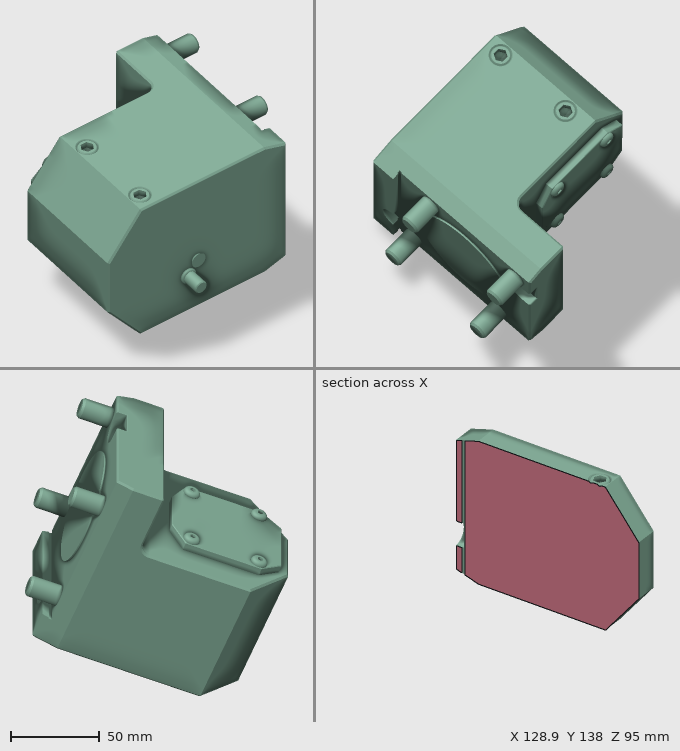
import cadquery as cq
import math

body_length = 116.0
body_height = 95.0
neck_x = 38.5
shoulder_y = 90.8
back_y = 119.6
inner_radius = 6.0
edge_chamfer = 1.1
seam_tolerance = 0.01
half_height = body_height / 2

front_bevel_depth = 22.9
front_flat_half = 18.6
rear_bevel_y = 109.7
rear_bevel_drop = 4.7

lip_x = 99.9
lip_y = 125.0
relief_width = 1.7
relief_top = 1.4
relief_depth = 0.5

mount_x = 50.0
spigot_radius = 32.7
spigot_height = 1.1
bolt_diameter = 12.0
bolt_end_y = 138
bolt_tip_length = 1.4
bolt_tip_inset = 1.0
bolt_row_z = 36.3
bolt_spacing = 64.9
bolt_row_offset = 6.5

key_notch_z = 18.9
lip_notch_z = -key_notch_z
key_notch_radius = 8.3
key_notch_depth = 6.0
key_notch_length = 15.2
key_notch_chamfer = 0.5
lip_notch_radius = 8.0

cover_thickness = 4.8
cover_chamfer = 0.4
cover_front_y = 6.3
cover_front_bevel_y = 18.2
cover_back_bevel_y = 64.5
cover_back_y = 72.7
cover_half_height = 29
cover_front_half = 19.2
cover_back_half = 14.5
button_ys = (20.3, 61.1)
button_z = 23.9
button_radius = 4.8
button_flat_radius = 2.6
button_height = 2.6
button_hex_width = 3.0
button_hex_depth = 1.7
button_crown = 0.5

socket_taper = 60
point_fullness = 0.95

cap_xs = (55.5, 105.3)
cap_y = 30.1
cap_head_radius = 5.2
cap_hole_radius = 6.8
cap_groove_depth = 0.8
cap_hex_width = 7.0
cap_hex_depth = 4.1

pin_end_x = 128.9
pin_y = 55.8
pin_z = -20.1
pin_radius = 4.0
pin_chamfer = 0.5
collar_radius = 5.1
collar_height = 1.8
collar_rounding = 1.1
screw_y = 62.1
screw_z = -10.8
screw_base_radius = 3.6
screw_rim_radius = 4.7
screw_height = 1.8


def plane_x(x, y, z):
    """Work plane facing +X, local x along +Y and local y along +Z."""
    return cq.Workplane(cq.Plane((x, y, z), (0, 1, 0), (1, 0, 0)))


def plane_y(x, y, z):
    """Work plane facing +Y, local x along +Z and local y along +X."""
    return cq.Workplane(cq.Plane((x, y, z), (0, 0, 1), (0, 1, 0)))


def mirrored_outline(half_points):
    """Close a half outline with its mirror image about the local x axis."""
    return half_points + [(u, -v) for u, v in reversed(half_points)]


def make_socket(mouth, width, depth):
    """Hexagonal socket with a pointed bottom, sunk below the plane `mouth`.

    Two corners of the hexagon lie on the plane's local x axis.
    """
    corner_diameter = width / math.cos(math.pi / 6)
    prism = cq.Workplane(mouth).polygon(6, corner_diameter).extrude(-depth)
    point_height = point_fullness * width / 2 / math.tan(math.radians(socket_taper))
    floor = mouth.toWorldCoords((0, 0, -depth))
    downward = cq.Plane(floor, mouth.xDir, -mouth.zDir)
    point = cq.Workplane(downward).polygon(6, corner_diameter).extrude(point_height, taper=socket_taper)
    return prism.union(point)


def make_body():
    plan = (
        cq.Workplane("XY", origin=(0, 0, -half_height))
        .moveTo(neck_x, 0)
        .lineTo(body_length, 0)
        .lineTo(body_length, lip_y)
        .lineTo(lip_x, lip_y)
        .lineTo(lip_x, back_y)
        .lineTo(0, back_y)
        .lineTo(0, shoulder_y)
        .lineTo(neck_x - inner_radius, shoulder_y)
        .radiusArc((neck_x, shoulder_y - inner_radius), inner_radius)
        .close()
        .extrude(body_height)
    )
    side_outline = mirrored_outline([
        (0, front_flat_half),
        (front_bevel_depth, half_height),
        (rear_bevel_y, half_height),
        (lip_y, half_height - rear_bevel_drop),
    ])
    body = plan.intersect(plane_x(0, 0, 0).polyline(side_outline).close().extrude(body_length))

    seams = {(neck_x - inner_radius, shoulder_y), (neck_x, shoulder_y - inner_radius)}

    def is_sharp(edge):
        middle = edge.Center()
        return all(math.hypot(middle.x - x, middle.y - y) > seam_tolerance for x, y in seams)

    arm_front = cq.selectors.BoxSelector(
        (0, shoulder_y - inner_radius, -half_height), (neck_x, shoulder_y + edge_chamfer, half_height)
    )
    rims = body.faces("#Z and (<X or >X)").edges()
    rims = rims.add(body.faces(arm_front).edges())
    rims = rims.add(body.faces(cq.selectors.NearestToPointSelector((neck_x, shoulder_y / 2, 0))).edges())
    return rims.filter(is_sharp).chamfer(edge_chamfer)


def make_lip_relief():
    """Undercut along the inside corner of the lip, cut into the lip and the back face."""
    return cq.Workplane("XY").box(
        relief_width, relief_top + relief_depth, body_height, centered=(False, False, True)
    ).translate((lip_x + relief_depth - relief_width, back_y - relief_depth, 0))


def cut_key_notch(body):
    """Open slot in the arm's end, with a round inner end and a chamfered mouth."""
    floor_y = back_y - key_notch_depth
    straight = key_notch_length - key_notch_radius
    slot = (
        plane_y(0, floor_y, key_notch_z)
        .moveTo(-key_notch_radius, 0)
        .lineTo(-key_notch_radius, straight)
        .threePointArc((0, key_notch_length), (key_notch_radius, straight))
        .lineTo(key_notch_radius, 0)
        .close()
        .extrude(key_notch_depth)
    )
    mouth = cq.selectors.BoxSelector(
        (-edge_chamfer, floor_y - edge_chamfer, key_notch_z - key_notch_radius - edge_chamfer),
        (edge_chamfer, back_y, key_notch_z + key_notch_radius + edge_chamfer),
    )
    return body.cut(slot).faces("<X").edges(mouth).chamfer(key_notch_chamfer)


def make_lip_notch():
    return plane_y(lip_x, back_y, lip_notch_z).circle(lip_notch_radius).extrude(lip_y - back_y)


def make_bolts():
    bolts = cq.Workplane("XY")
    length = bolt_end_y - back_y
    for row in (1, -1):
        for side in (1, -1):
            x = mount_x - row * bolt_row_offset + side * bolt_spacing / 2
            bolt = (
                plane_y(x, back_y, row * bolt_row_z)
                .circle(bolt_diameter / 2)
                .extrude(length)
                .faces(">Y")
                .chamfer(bolt_tip_length, bolt_tip_inset)
            )
            bolts = bolts.add(bolt)
    return bolts.combine()


def make_cover():
    outline = mirrored_outline([
        (cover_front_y, cover_front_half),
        (cover_front_bevel_y, cover_half_height),
        (cover_back_bevel_y, cover_half_height),
        (cover_back_y, cover_back_half),
    ])
    cover = plane_x(neck_x, 0, 0).polyline(outline).close().extrude(-cover_thickness)
    return cover.faces("<X").chamfer(cover_chamfer)


def make_button_screw(y, z):
    """Domed head on the cover with a hexagonal socket."""
    seat_x = neck_x - cover_thickness
    top_x = seat_x - button_height
    flank_middle = (
        seat_x - button_height / 2 - button_crown,
        y + (button_radius + button_flat_radius) / 2 + button_crown,
    )
    head = (
        cq.Workplane("XY", origin=(0, 0, z))
        .moveTo(seat_x, y)
        .lineTo(seat_x, y + button_radius)
        .threePointArc(flank_middle, (top_x, y + button_flat_radius))
        .lineTo(top_x, y)
        .close()
        .revolve(360, (0, y, 0), (1, y, 0))
    )
    mouth = cq.Plane((top_x, y, z), (0, 0, 1), (-1, 0, 0))
    return head.cut(make_socket(mouth, button_hex_width, button_hex_depth))


def make_cap_recess(x):
    """V-shaped ring around a flush screw head, plus its pointed hexagonal socket."""
    ring_middle = (cap_head_radius + cap_hole_radius) / 2
    groove = (
        cq.Workplane("XZ", origin=(x, cap_y, half_height))
        .moveTo(cap_head_radius, 0)
        .lineTo(ring_middle, -cap_groove_depth)
        .lineTo(cap_hole_radius, 0)
        .close()
        .revolve(360, (0, 0, 0), (0, 1, 0))
    )
    mouth = cq.Plane((x, cap_y, half_height), (0, 1, 0), (0, 0, 1))
    return groove.union(make_socket(mouth, cap_hex_width, cap_hex_depth))


def make_pin():
    pin = (
        plane_x(body_length, pin_y, pin_z)
        .circle(pin_radius)
        .extrude(pin_end_x - body_length)
        .faces(">X")
        .chamfer(pin_chamfer)
    )
    collar = (
        plane_x(body_length, pin_y, pin_z)
        .circle(collar_radius)
        .extrude(collar_height)
        .faces(">X")
        .edges()
        .fillet(collar_rounding)
    )
    return pin.union(collar)


def make_countersunk_head():
    """Cone that widens away from the +X side."""
    return (
        plane_x(body_length, screw_y, screw_z)
        .circle(screw_base_radius)
        .workplane(offset=screw_height)
        .circle(screw_rim_radius)
        .loft()
    )


spigot = plane_y(mount_x, back_y, 0).circle(spigot_radius).extrude(spigot_height)

result = cut_key_notch(make_body()).cut(make_lip_relief()).cut(make_lip_notch())
result = result.union(spigot).union(make_bolts()).union(make_cover())
for button_y in button_ys:
    for side in (1, -1):
        result = result.union(make_button_screw(button_y, side * button_z))
for cap_x in cap_xs:
    result = result.cut(make_cap_recess(cap_x))
result = result.union(make_pin()).union(make_countersunk_head())